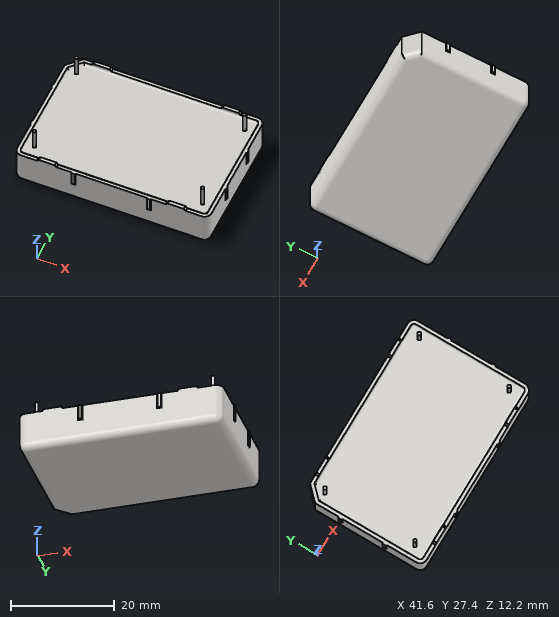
import cadquery as cq
import math


body_length = 41.2
body_width = 27.2
rim_height = 8.0
corner_radius = 1.5
key_corner_leg = 2.9

wall = 0.8
pocket_depth = 0.5
pocket_corner_radius = corner_radius - wall
pocket_floor_radius = pocket_depth
tool_clearance = 0.4

tab_base_length = 4.2
tab_height = 0.4
tab_offset = 13.65

rib_width = 1.0
rib_length = 3.33
rib_protrusion = 0.2
long_wall_rib_offset = 8.0
end_wall_rib_offset = 5.0

front_pin_diameter = 0.7
back_pin_diameter = 0.75
pin_top = 12.15
pin_offset_x = 17.8
pin_offset_y = 10.15
pin_embed = 0.4

SIDES = (-1, 1)
half_length = body_length / 2
half_width = body_width / 2
pocket_floor = rim_height - pocket_depth
pin_root = pocket_floor - pin_embed


def cornered_prism(length, width, bottom, height, radius, key_leg):
    """Block with three rounded vertical corners and a flat cut at the -X +Y corner."""
    block = cq.Workplane("XY").box(length, width, height, centered=(True, True, False))
    block = block.edges("|Z and (>X or <Y)").fillet(radius)
    block = block.edges(cq.NearestToPointSelector((-length / 2, width / 2, height / 2))).chamfer(key_leg)
    return block.translate((0, 0, bottom))


def make_body():
    body = cornered_prism(body_length, body_width, 0, rim_height, corner_radius, key_corner_leg)
    return body.faces("<Z").edges().fillet(corner_radius)


def make_pocket():
    key_leg = key_corner_leg - (2 - math.sqrt(2)) * wall
    pocket = cornered_prism(body_length - 2 * wall, body_width - 2 * wall, pocket_floor,
                            pocket_depth + tool_clearance, pocket_corner_radius, key_leg)
    return pocket.faces("<Z").edges().fillet(pocket_floor_radius)


def make_tab(x, side):
    """Tab as thick as the wall, with 45 degree end slopes."""
    half_base = tab_base_length / 2
    half_top = half_base - tab_height
    profile = [(-half_base, 0), (half_base, 0), (half_top, tab_height), (-half_top, tab_height)]
    tab = cq.Workplane("XZ").polyline(profile).close().extrude(wall / 2, both=True)
    return tab.translate((x, side * (half_width - wall / 2), rim_height))


def make_rib(wall_distance, along, turn):
    """Rib with sides and lower end bevelled at 45 degrees, on the wall reached by turning from -Y."""
    rib = cq.Workplane("XY").box(rib_width, 2 * rib_protrusion, rib_length)
    rib = rib.faces("<Y").edges("not >Z").chamfer(rib_protrusion)
    rib = rib.translate((along, -wall_distance, rim_height - rib_length / 2))
    return rib.rotate((0, 0, 0), (0, 0, 1), turn)


def make_pin(x, y, diameter):
    pin = cq.Workplane("XY").circle(diameter / 2).extrude(pin_top - pin_root)
    return pin.translate((x, y, pin_root))


result = make_body().cut(make_pocket())

for x_side in SIDES:
    for y_side in SIDES:
        result = result.union(make_tab(x_side * tab_offset, y_side))
        result = result.union(make_rib(half_length, y_side * end_wall_rib_offset, x_side * 90))
    result = result.union(make_rib(half_width, x_side * long_wall_rib_offset, 0))
    result = result.union(make_pin(x_side * pin_offset_x, -pin_offset_y, front_pin_diameter))
    result = result.union(make_pin(x_side * pin_offset_x, pin_offset_y, back_pin_diameter))